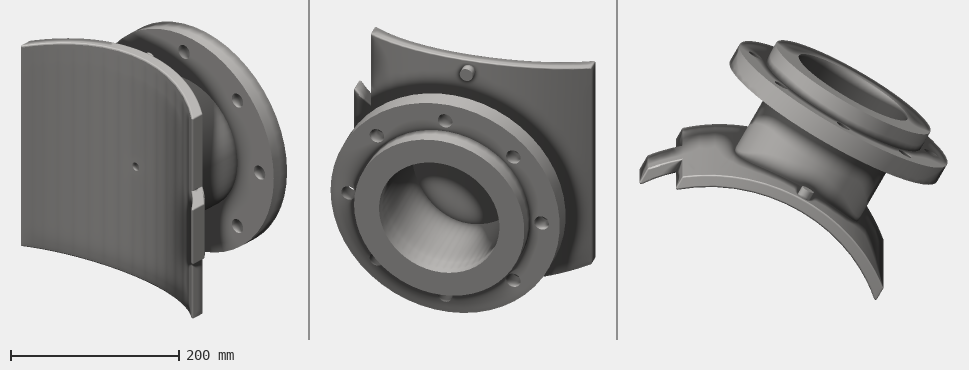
import cadquery as cq
import math

OUTER_RADIUS = 215.0
PLATE_THICKNESS = 15.0
INNER_RADIUS = OUTER_RADIUS - PLATE_THICKNESS
PLATE_HALF_WIDTH = 137.5
PLATE_HEIGHT = 300.0
EDGE_DROP = 14.5
EDGE_ROUNDING = 2.02

PIPE_DIAMETER = 169.7
BORE_DIAMETER = 150.0
FLANGE_DIAMETER = 285.0
FLANGE_THICKNESS = 24.0
SPIGOT_DIAMETER = 212.0
SPIGOT_LENGTH = 24.0
BACK_CLEARANCE = 119.5
END_Y = OUTER_RADIUS + BACK_CLEARANCE
FLANGE_BACK_Y = END_Y - SPIGOT_LENGTH
FLANGE_FRONT_Y = FLANGE_BACK_Y - FLANGE_THICKNESS

OVERALL_WIDTH = 310.2
TAB_END_X = OVERALL_WIDTH - FLANGE_DIAMETER / 2
TAB_HEIGHT = 75.0

BOLT_COUNT = 8
BOLT_CIRCLE_DIAMETER = 240.0
BOLT_HOLE_DIAMETER = 18.0
CENTER_HOLE_DIAMETER = 10.5
PIN_DIAMETER = 16.0
PIN_PROJECTION = 10.5
PIN_OFFSET_Z = 135.5


def rod(diameter, start_y, end_y, x=0, z=0):
    """Cylinder along Y between two Y positions."""
    plane = cq.Plane(origin=(x, start_y, z), xDir=(1, 0, 0), normal=(0, 1, 0))
    return cq.Workplane(plane).circle(diameter / 2).extrude(end_y - start_y)


def make_plate():
    """Bent plate with bowed top and bottom edges, its tab, and rounded edges."""
    half_height = PLATE_HEIGHT / 2
    side_height = half_height - EDGE_DROP
    half_tab = TAB_HEIGHT / 2
    outline = (
        cq.Workplane("XZ")
        .moveTo(-PLATE_HALF_WIDTH, -side_height)
        .threePointArc((0, -half_height), (PLATE_HALF_WIDTH, -side_height))
        .lineTo(PLATE_HALF_WIDTH, -half_tab)
        .lineTo(TAB_END_X, -half_tab)
        .lineTo(TAB_END_X, half_tab)
        .lineTo(PLATE_HALF_WIDTH, half_tab)
        .lineTo(PLATE_HALF_WIDTH, side_height)
        .threePointArc((0, half_height), (-PLATE_HALF_WIDTH, side_height))
        .close()
        .extrude(-OUTER_RADIUS)
    )
    shell = (
        cq.Workplane("XY")
        .circle(OUTER_RADIUS)
        .circle(INNER_RADIUS)
        .extrude(half_height, both=True)
    )
    plate = outline.intersect(shell)
    curved_face_edges = plate.faces("%CYLINDER").edges()
    plate_corners = plate.edges("|Y").edges(">Z or <Z")
    tab_corners = plate.edges("|Y").edges(">X")
    rounded_edges = curved_face_edges.add(plate_corners).add(tab_corners)
    return rounded_edges.fillet(EDGE_ROUNDING)


def make_flanged_pipe():
    """Bored pipe, flange and spigot, with the pipe end fitted to the plate."""
    pipe_start = math.sqrt(INNER_RADIUS**2 - (PIPE_DIAMETER / 2) ** 2)
    body = rod(PIPE_DIAMETER, pipe_start, FLANGE_FRONT_Y)
    body = body.union(rod(FLANGE_DIAMETER, FLANGE_FRONT_Y, FLANGE_BACK_Y))
    body = body.union(rod(SPIGOT_DIAMETER, FLANGE_BACK_Y, END_Y))
    body = body.cut(rod(BORE_DIAMETER, 0, END_Y))
    plate_space = cq.Workplane("XY").circle(OUTER_RADIUS).extrude(PLATE_HEIGHT / 2, both=True)
    body = body.cut(plate_space)
    for index in range(BOLT_COUNT):
        angle = 2 * math.pi * index / BOLT_COUNT
        x = BOLT_CIRCLE_DIAMETER / 2 * math.cos(angle)
        z = BOLT_CIRCLE_DIAMETER / 2 * math.sin(angle)
        body = body.cut(rod(BOLT_HOLE_DIAMETER, FLANGE_FRONT_Y, FLANGE_BACK_Y, x, z))
    return body


result = make_plate().union(make_flanged_pipe())

pin_root_y = OUTER_RADIUS - PLATE_THICKNESS / 2
for pin_z in (-PIN_OFFSET_Z, PIN_OFFSET_Z):
    result = result.union(rod(PIN_DIAMETER, pin_root_y, OUTER_RADIUS + PIN_PROJECTION, z=pin_z))

result = result.cut(rod(CENTER_HOLE_DIAMETER, 0, END_Y))